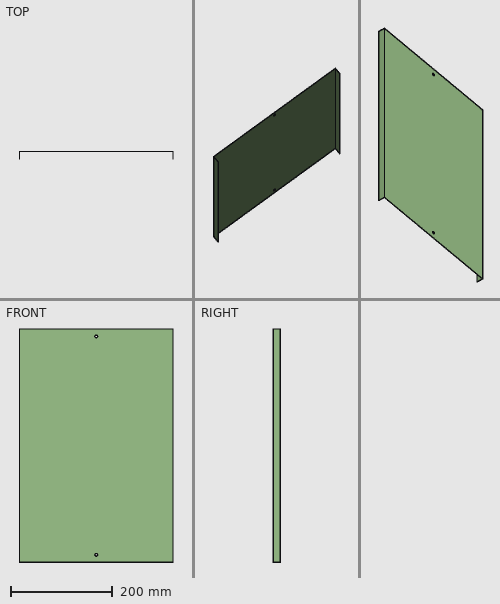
import cadquery as cq

width = 303.2
flange_depth = 14.6
height = 460.0
thickness = 0.6
hole_diameter = 5.0
hole_edge_distance = 15.0


def make_channel():
    """U-shaped panel, centred on the origin, with the flanges pointing toward -Y."""
    envelope = cq.Workplane("XY").box(width, flange_depth, height)
    inside = (
        cq.Workplane("XY")
        .box(width - 2 * thickness, flange_depth, height)
        .translate((0, -thickness, 0))
    )
    return envelope.cut(inside)


def drill_mounting_holes(panel):
    """One hole through the web near the top edge and one near the bottom edge."""
    hole_height = height / 2 - hole_edge_distance
    drills = (
        cq.Workplane("XZ")
        .pushPoints([(0, hole_height), (0, -hole_height)])
        .circle(hole_diameter / 2)
        .extrude(flange_depth, both=True)
    )
    return panel.cut(drills)


result = drill_mounting_holes(make_channel())